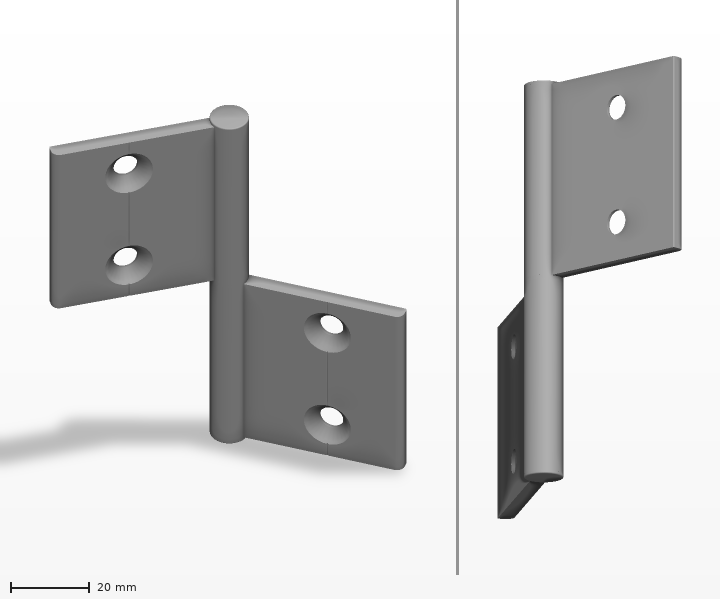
import cadquery as cq
import math

total_height = 103.0
disc_thickness = 1.0
leaf_height = (total_height - 3 * disc_thickness) / 2

knuckle_diameter = 10.0
knuckle_radius = knuckle_diameter / 2
plate_thickness = 4.0
plate_half = plate_thickness / 2
plate_reach = 47.0
tip_radius = plate_half
back_corner_round = 0.3

lower_leaf_angle = 30.0
upper_leaf_angle = 245.0

hole_diameter = 6.4
countersink_diameter = 12.6
countersink_angle = 90.0
hole_reach = 27.0
hole_spacing = 30.0

groove_width = 0.4
groove_depth = 0.2

dome_height = 0.15
cap_edge_round = 0.3

lower_leaf_bottom = disc_thickness
washer_bottom = lower_leaf_bottom + leaf_height
upper_leaf_bottom = washer_bottom + disc_thickness
upper_cap_bottom = upper_leaf_bottom + leaf_height


def make_plate(face_side):
    """Plate along +X with its countersunk face on the +Y (+1) or -Y (-1) side."""
    arc_middle = tip_radius * math.sqrt(0.5)
    tip_center = plate_reach - tip_radius
    face_y = face_side * plate_half
    arc_center_y = face_y - face_side * tip_radius
    plate = (
        cq.Workplane("XY")
        .moveTo(0, -face_y)
        .lineTo(plate_reach, -face_y)
        .lineTo(plate_reach, arc_center_y)
        .threePointArc(
            (tip_center + arc_middle, arc_center_y + face_side * arc_middle),
            (tip_center, face_y),
        )
        .lineTo(0, face_y)
        .close()
        .extrude(leaf_height)
    )
    back_corner = cq.selectors.NearestToPointSelector((plate_reach, -face_y, leaf_height / 2))
    return plate.edges("|Z").edges(back_corner).fillet(back_corner_round)


def cut_groove(leaf, face_side):
    """V groove along Z in the countersunk face."""
    face_y = face_side * plate_half
    groove = (
        cq.Workplane("XY")
        .polyline([
            (hole_reach - groove_width / 2, face_y),
            (hole_reach + groove_width / 2, face_y),
            (hole_reach, face_y - face_side * groove_depth),
        ])
        .close()
        .extrude(leaf_height)
    )
    return leaf.cut(groove)


def cut_screw_holes(leaf, face_side):
    """Two countersunk holes entering from the countersunk face."""
    cone_height = countersink_diameter / 2 / math.tan(math.radians(countersink_angle / 2))
    face_y = face_side * plate_half
    inward = cq.Vector(0, -face_side, 0)
    for side in (-1, 1):
        center = cq.Vector(hole_reach, face_y, leaf_height / 2 + side * hole_spacing / 2)
        bore = cq.Solid.makeCylinder(hole_diameter / 2, plate_thickness, center, inward)
        countersink = cq.Solid.makeCone(countersink_diameter / 2, 0, cone_height, center, inward)
        leaf = leaf.cut(cq.Workplane(bore)).cut(cq.Workplane(countersink))
    return leaf


def make_leaf(face_side, angle, bottom):
    """Knuckle and plate in one solid, turned about the hinge axis and raised to its level."""
    knuckle = cq.Workplane("XY").circle(knuckle_radius).extrude(leaf_height)
    leaf = knuckle.union(make_plate(face_side))
    leaf = cut_groove(leaf, face_side)
    leaf = cut_screw_holes(leaf, face_side)
    return leaf.rotate((0, 0, 0), (0, 0, 1), angle).translate((0, 0, bottom))


def make_cap():
    """Disc with a slightly domed top and a rounded rim, revolved about the hinge axis."""
    rim_height = disc_thickness - dome_height
    dome_radius = (knuckle_radius**2 + dome_height**2) / (2 * dome_height)
    half_radius = knuckle_radius / 2
    half_height = disc_thickness - dome_radius + math.sqrt(dome_radius**2 - half_radius**2)
    profile = (
        cq.Workplane("XZ")
        .lineTo(knuckle_radius, 0)
        .lineTo(knuckle_radius, rim_height)
        .threePointArc((half_radius, half_height), (0, disc_thickness))
        .close()
    )
    cap = profile.revolve(360, (0, 0, 0), (0, 1, 0))
    rim = cq.selectors.NearestToPointSelector((0, 0, rim_height))
    return cap.edges("%CIRCLE").edges(rim).fillet(cap_edge_round)


def make_washer():
    """Plain disc between the two knuckles."""
    return cq.Workplane("XY").circle(knuckle_radius).extrude(disc_thickness)


lower_leaf = make_leaf(-1, lower_leaf_angle, lower_leaf_bottom)
upper_leaf = make_leaf(1, upper_leaf_angle, upper_leaf_bottom)
washer = make_washer().translate((0, 0, washer_bottom))
upper_cap = make_cap().translate((0, 0, upper_cap_bottom))
lower_cap = make_cap().mirror("XY").translate((0, 0, disc_thickness))

result = cq.Compound.makeCompound([
    lower_leaf.val(),
    upper_leaf.val(),
    washer.val(),
    upper_cap.val(),
    lower_cap.val(),
])